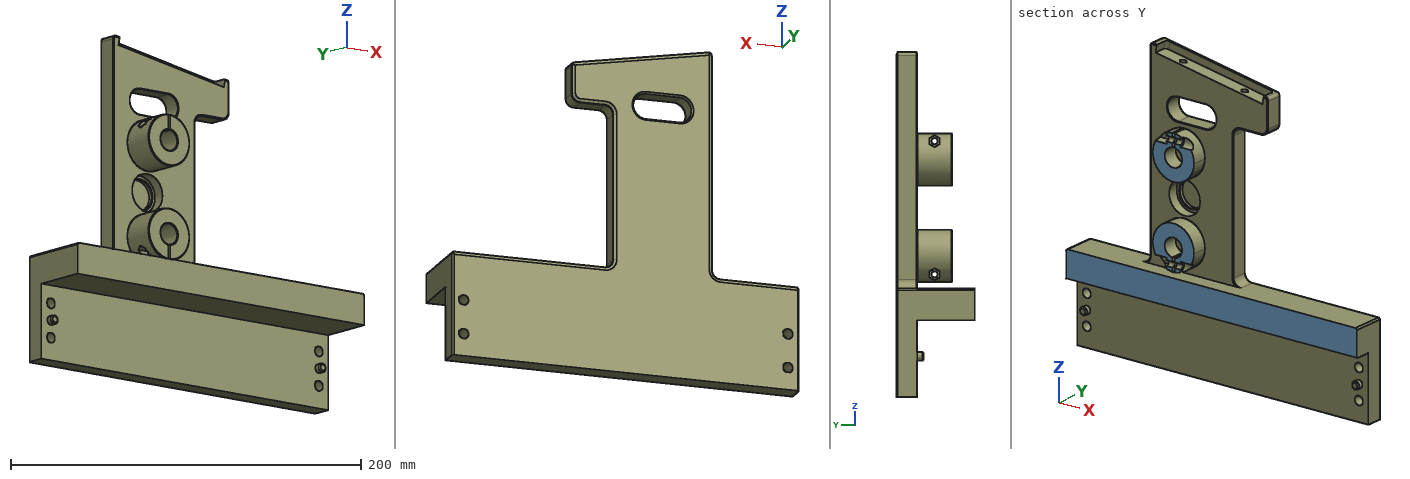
import cadquery as cq
import math


bar_length = 210.0
bar_top = 62.2
bar_depth = 45.0
flange_thickness = 18.3
plate_thickness = 12.0
back_chamfer = 1.0
front_chamfer = 0.5
chamfer_angle = 45

total_height = 197.2
post_left = 52.5
post_right = post_left + 60.0
head_right = post_left + 85.0
head_bottom = 159.0
slope_angle = math.radians(10)
top_radius = 2.0
outline_fillet = 5.0

pocket_wall = 4.0
pocket_depth = 5.0
pocket_back_wall = 2.5
pocket_corner_radius = 2.0
pocket_hole_diameter = 4.0
pocket_hole_spacing = 45.0
pocket_hole_depth = 10.0

slot_length = 35.0
slot_height = 15.0
slot_x = (post_left + post_right) / 2
slot_z = 160.9

collar_x = 77.5
recess_z = 108.2
recess_diameter = 22.3
recess_depth = 7.0
recess_floor_diameter = 18.0
recess_chamfer = 0.5
recess_floor_depth = 9.7
collar_offset = 27.5
collar_diameter = 30.0
collar_length = 20.0
collar_bore = 12.2
collar_chamfer = 0.5
collar_slit = 1.5
clamp_screw_offset = 10.5
clamp_screw_diameter = 3.4
screw_head_diameter = 5.9
nut_across_flats = 5.9
clamp_seat_offset = 5.0

end_distance = 7.0
pin_z = 23.3
screw_hole_offset = 10.0
screw_hole_diameter = 5.9
pin_diameter = 5.2
pin_length = 3.8
pin_chamfer = 0.8


def front_plane(x, y, z):
    """Plane parallel to the front face, with its normal toward -Y."""
    return cq.Workplane("XZ", origin=(x, y, z))


round_x = post_left + top_radius
round_z = total_height - top_radius


def slope_z(x):
    """Height of the sloping top at x."""
    return round_z + top_radius / math.cos(slope_angle) - (x - round_x) * math.tan(slope_angle)


def make_plate():
    """Upright plate: the rear wall of the bar and the post in one outline."""
    plate = (
        front_plane(0, 0, 0)
        .polyline([
            (0, 0),
            (bar_length, 0),
            (bar_length, bar_top - back_chamfer),
            (bar_length - back_chamfer, bar_top),
            (post_right, bar_top),
            (post_right, head_bottom),
            (head_right, head_bottom),
            (head_right, slope_z(head_right)),
            (post_left, slope_z(post_left)),
            (post_left, bar_top),
            (back_chamfer, bar_top),
            (0, bar_top - back_chamfer),
        ])
        .close()
        .extrude(plate_thickness)
    )

    def upright_corner(x, z):
        return cq.selectors.NearestToPointSelector((x, -plate_thickness / 2, z))

    for x, z in [
        (post_left, bar_top),
        (post_right, bar_top),
        (post_right, head_bottom),
        (head_right, head_bottom),
    ]:
        plate = plate.edges("|Y").edges(upright_corner(x, z)).fillet(outline_fillet)
    for x in (post_left, head_right):
        plate = plate.edges("|Y").edges(upright_corner(x, slope_z(x))).fillet(top_radius)

    plate = plate.faces(">Y").edges("not <Z").chamfer(back_chamfer)
    return (
        plate.faces("<Y").edges()
        .filter(lambda edge: edge.Center().z > bar_top + front_chamfer)
        .chamfer(front_chamfer)
    )


def make_flange():
    """Horizontal leg of the bar, with the same broken end corners as the plate."""
    return (
        front_plane(0, -plate_thickness / 2, 0)
        .polyline([
            (0, bar_top - flange_thickness),
            (bar_length, bar_top - flange_thickness),
            (bar_length, bar_top - back_chamfer),
            (bar_length - back_chamfer, bar_top),
            (back_chamfer, bar_top),
            (0, bar_top - back_chamfer),
        ])
        .close()
        .extrude(bar_depth - plate_thickness / 2)
    )


def cut_slot(plate):
    """Cut the round-ended slot and break its rims on both faces."""
    plate = plate.cut(
        front_plane(slot_x, 0, slot_z).slot2D(slot_length, slot_height).extrude(plate_thickness)
    )
    rim_box = cq.selectors.BoxSelector(
        (slot_x - slot_length, -2 * plate_thickness, slot_z - slot_height),
        (slot_x + slot_length, plate_thickness, slot_z + slot_height),
    )
    for face, chamfer in ((">Y", back_chamfer), ("<Y", front_chamfer)):
        plate = plate.faces(face).edges(rim_box).chamfer(chamfer)
    return plate


def make_top_pocket():
    """Cutter for the pocket in the sloping top, open to the front, with two holes in its floor."""
    middle_x = (post_left + head_right) / 2
    length = (head_right - post_left - 2 * pocket_wall) / math.cos(slope_angle)
    width = plate_thickness - pocket_back_wall
    floor_plane = cq.Plane(
        origin=(
            middle_x,
            -pocket_back_wall - width / 2,
            slope_z(middle_x) - pocket_depth / math.cos(slope_angle),
        ),
        xDir=(math.cos(slope_angle), 0, -math.sin(slope_angle)),
        normal=(math.sin(slope_angle), 0, math.cos(slope_angle)),
    )
    pocket = (
        cq.Workplane(floor_plane)
        .box(length, width, 2 * pocket_depth, centered=(True, True, False))
        .faces(">Y")
        .edges(cq.selectors.ParallelDirSelector(floor_plane.zDir))
        .fillet(pocket_corner_radius)
    )
    holes = (
        cq.Workplane(floor_plane)
        .rarray(pocket_hole_spacing, 2, 2, 1)
        .circle(pocket_hole_diameter / 2)
        .extrude(-pocket_hole_depth)
    )
    return pocket.union(holes)


def make_recess():
    """Cutter for the stepped blind recess between the collars."""
    front = front_plane(collar_x, -plate_thickness, recess_z)
    ledge = front.workplane(offset=-recess_depth)
    ledge_chamfer = (
        ledge.circle(recess_floor_diameter / 2 + recess_chamfer)
        .extrude(-recess_chamfer, taper=chamfer_angle)
    )
    return (
        front.circle(recess_diameter / 2).extrude(-recess_depth)
        .union(front.circle(recess_floor_diameter / 2).extrude(-recess_floor_depth))
        .union(ledge_chamfer)
    )


def make_collar(side):
    """Split collar above (side = 1) or below (side = -1) the recess, split away from the recess."""
    center_z = recess_z + side * collar_offset
    front = front_plane(collar_x, -plate_thickness, center_z)
    collar = (
        front.circle(collar_diameter / 2)
        .circle(collar_bore / 2)
        .extrude(collar_length)
        .faces("<Y or >Y")
        .chamfer(collar_chamfer)
    )
    collar = collar.cut(
        front.center(0, side * collar_diameter / 2)
        .rect(collar_slit, collar_diameter)
        .extrude(collar_length)
    )

    screw_axis = cq.Workplane(
        "YZ",
        origin=(collar_x, -plate_thickness - collar_length / 2, center_z + side * clamp_screw_offset),
    )
    screw_hole = screw_axis.circle(clamp_screw_diameter / 2).extrude(collar_diameter / 2, both=True)
    nut_seat = (
        screw_axis.workplane(offset=-clamp_seat_offset)
        .polygon(6, nut_across_flats, circumscribed=True)
        .extrude(-collar_diameter / 2)
    )
    head_seat = (
        screw_axis.workplane(offset=clamp_seat_offset)
        .circle(screw_head_diameter / 2)
        .extrude(collar_diameter / 2)
    )
    return collar.cut(screw_hole).cut(nut_seat).cut(head_seat)


def make_pin(x):
    """Locating pin with a chamfered tip, standing on the front of the bar's rear wall."""
    return (
        front_plane(x, -plate_thickness, pin_z)
        .circle(pin_diameter / 2)
        .extrude(pin_length)
        .faces("<Y")
        .chamfer(pin_chamfer)
    )


result = cut_slot(make_plate()).union(make_flange()).cut(make_top_pocket()).cut(make_recess())

for side in (1, -1):
    result = result.union(make_collar(side))

for x in (end_distance, bar_length - end_distance):
    result = result.union(make_pin(x))
    for side in (1, -1):
        result = result.cut(
            front_plane(x, 0, pin_z + side * screw_hole_offset)
            .circle(screw_hole_diameter / 2)
            .extrude(plate_thickness)
        )